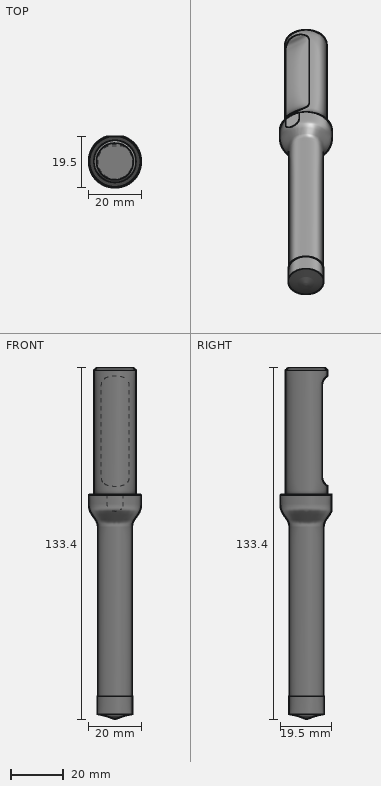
import cadquery as cq
import math

total_length = 133.4
shank_length = 48.0
point_height = 2.0
tip_top = 8.8
collar_top = total_length - shank_length

shank_radius = 16.0 / 2
shank_chamfer = 1.0
flat_depth = 2.0
flat_end_land = 3.1
flat_runout_radius = 4.0

collar_radius = 20.0 / 2
collar_chamfer = 0.4
collar_rim_height = 3.9
collar_flat_offset = 9.53
blend_height = 8.4
upper_blend_handle = 4.2
lower_blend_handle = 3.4

body_radius = 13.18 / 2
tip_radius = 13.5 / 2
point_core_radius = 6.35 / 2
point_core_height = 1.2


def make_holder():
    """Turned profile of body, collar and shank, with the two flats cut on the +Y side."""
    rim_bottom = collar_top - collar_rim_height
    blend_bottom = rim_bottom - blend_height

    blend_curve = [
        (body_radius, blend_bottom),
        (body_radius, blend_bottom + lower_blend_handle),
        (collar_radius, rim_bottom - upper_blend_handle),
        (collar_radius, rim_bottom),
    ]

    turned = (
        cq.Workplane("XZ")
        .moveTo(0, tip_top)
        .lineTo(body_radius, tip_top)
        .lineTo(body_radius, blend_bottom)
        .bezier(blend_curve)
        .lineTo(collar_radius, collar_top - collar_chamfer)
        .lineTo(collar_radius - collar_chamfer, collar_top)
        .lineTo(shank_radius, collar_top)
        .lineTo(shank_radius, total_length - shank_chamfer)
        .lineTo(shank_radius - shank_chamfer, total_length)
        .lineTo(0, total_length)
        .close()
        .revolve(360, (0, 0), (0, 1))
    )
    return turned.cut(clamping_flat()).cut(collar_flat())


def clamping_flat():
    """Cutter for the shank flat, whose two ends run out along arcs tangent to the flat."""
    flat_y = shank_radius - flat_depth
    upper_end = total_length - flat_end_land
    lower_end = collar_top + flat_end_land
    runout_angle = math.acos(1 - flat_depth / flat_runout_radius)
    runout_length = flat_runout_radius * math.sin(runout_angle)
    arc_middle_y = flat_y + flat_runout_radius * (1 - math.cos(runout_angle / 2))
    arc_middle_length = flat_runout_radius * math.sin(runout_angle / 2)
    upper_tangent = upper_end - runout_length
    lower_tangent = lower_end + runout_length
    return (
        cq.Workplane("YZ")
        .moveTo(shank_radius, lower_end)
        .lineTo(shank_radius, upper_end)
        .threePointArc((arc_middle_y, upper_tangent + arc_middle_length), (flat_y, upper_tangent))
        .lineTo(flat_y, lower_tangent)
        .threePointArc((arc_middle_y, lower_tangent - arc_middle_length), (shank_radius, lower_end))
        .close()
        .extrude(shank_radius, both=True)
    )


def collar_flat():
    """Cutter for the narrow flat on the collar rim."""
    collar_diameter = 2 * collar_radius
    collar_height = collar_rim_height + blend_height
    return (
        cq.Workplane("XY", origin=(0, collar_flat_offset, collar_top - collar_height))
        .box(collar_diameter, collar_radius, collar_height, centered=(True, False, False))
    )


def make_tip():
    """Cutting tip below the holder: a plain cylinder with a shallow point and a steeper core."""
    return (
        cq.Workplane("XZ")
        .polyline([
            (0, 0),
            (point_core_radius, point_core_height),
            (tip_radius, point_height),
            (tip_radius, tip_top),
            (0, tip_top),
        ])
        .close()
        .revolve(360, (0, 0), (0, 1))
    )


holder = make_holder()
cutting_tip = make_tip()

result = cq.Compound.makeCompound([holder.val(), cutting_tip.val()])